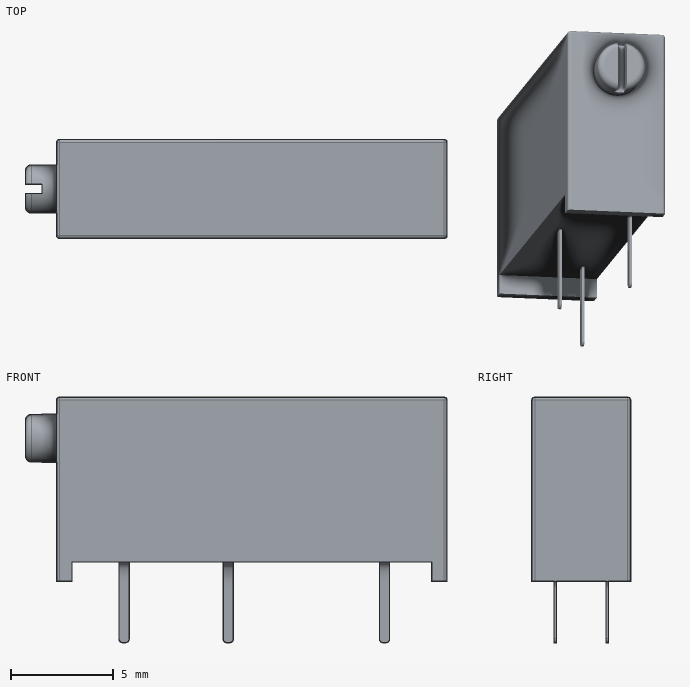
import cadquery as cq


body_length = 19.05
body_width = 4.83
body_height = 8.98
edge_radius = 0.15
foot_length = 0.76
foot_height = 0.93

screw_diameter = 2.36
screw_length = 1.52
screw_drop = 2.0
screw_edge_radius = 0.3
slot_width = 0.44
slot_depth = 0.8

pitch = 2.54
pin_width = 0.51
pin_thickness = 0.127
pin_reach = 3.0
pin_tip_radius = 0.2
row_offset = pitch / 2
first_pin_x = -6.23
pin_positions = [
    (first_pin_x, -row_offset),
    (first_pin_x + 2 * pitch, row_offset),
    (first_pin_x + 5 * pitch, -row_offset),
]


def make_housing():
    """Box with rounded top and upright edges, cut away underneath between the end feet."""
    block = cq.Workplane("XY").box(body_length, body_width, body_height, centered=(True, True, False))
    block = block.edges("|Z or >Z").fillet(edge_radius)
    gap_length = body_length - 2 * foot_length
    gap = cq.Workplane("XY").box(gap_length, body_width, foot_height, centered=(True, True, False))
    return block.cut(gap)


def make_screw():
    """Round screw head with a rounded rim and an upright driver slot across its end."""
    face_x = -body_length / 2
    tip_x = face_x - screw_length
    axis_z = body_height - screw_drop
    head = (
        cq.Workplane("YZ", origin=(face_x, 0, axis_z))
        .circle(screw_diameter / 2)
        .extrude(-screw_length)
        .faces("<X")
        .edges()
        .fillet(screw_edge_radius)
    )
    slot = (
        cq.Workplane("XY")
        .box(slot_depth, slot_width, screw_diameter, centered=(False, True, True))
        .translate((tip_x, 0, axis_z))
    )
    return head.cut(slot)


def make_pin(x, y):
    """Flat pin hanging from the housing underside, with its two tip corners rounded."""
    pin_length = foot_height + pin_reach
    return (
        cq.Workplane("XY")
        .box(pin_width, pin_thickness, pin_length, centered=(True, True, False))
        .faces("<Z")
        .edges("|Y")
        .fillet(pin_tip_radius)
        .translate((x, y, -pin_reach))
    )


result = make_housing().union(make_screw())
for pin_x, pin_y in pin_positions:
    result = result.union(make_pin(pin_x, pin_y))